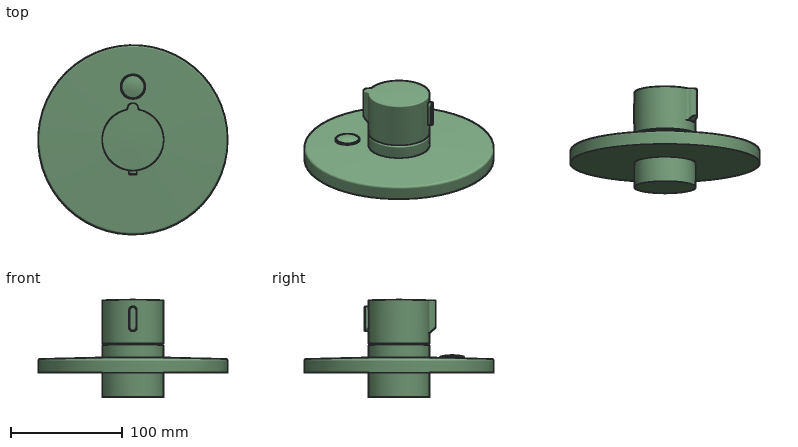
import cadquery as cq
import math

plate_radius = 85
plate_bottom = 22.1
plate_rim_top = 34.3
plate_peak = 36.4
plate_rim_round = 2.0

body_radius = 27.5
body_top = 46.9
body_round = 1.2
neck_radius = 22.3
neck_overlap = 1.7

cap_bottom = 48.3
cap_rim_top = 86.9
cap_round = 1.0
crown_peak = 87.5

pointer_radius = 4.8
pointer_reach = 33.0
pointer_blend = 2.5
crease_margin = 0.2
pointer_tip_bottom = 62.4
pointer_root_bottom = 57.6

key_width = 7.1
key_bottom = 59.0
key_top = 81.5
key_reach = 31.1
key_embed = 1.7
key_chamfer = 0.7

button_y = 47.6
button_radius = 11.0
button_dome_radius = 10.2
button_edge = 35.7
button_dome_edge = 36.5
button_peak = 37.9


def disc(radius, bottom, top):
    return cq.Workplane("XY").workplane(offset=bottom).circle(radius).extrude(top - bottom)


def make_plate():
    face_radius = plate_radius - plate_rim_round
    shoulder = plate_rim_top - plate_rim_round
    bend = plate_rim_round * math.sqrt(0.5)
    return (
        cq.Workplane("XZ")
        .moveTo(0, plate_bottom)
        .lineTo(plate_radius, plate_bottom)
        .lineTo(plate_radius, shoulder)
        .threePointArc((face_radius + bend, shoulder + bend), (face_radius, plate_rim_top))
        .lineTo(0, plate_peak)
        .close()
        .revolve(360, (0, 0), (0, 1))
    )


def make_body():
    body = disc(body_radius, 0, body_top).faces(">Z").edges().fillet(body_round)
    return body.union(disc(neck_radius, plate_bottom, cap_bottom + neck_overlap))


def make_cap():
    barrel = disc(body_radius, cap_bottom, crown_peak)
    pointer_y = pointer_reach - pointer_radius
    lobe = disc(pointer_radius, cap_bottom, crown_peak).translate((0, pointer_y, 0))
    crease_y = (body_radius**2 + pointer_y**2 - pointer_radius**2) / (2 * pointer_y)
    crease_x = math.sqrt(body_radius**2 - crease_y**2)
    creases = cq.selectors.BoxSelector(
        (-crease_x - crease_margin, crease_y - crease_margin, cap_bottom),
        (crease_x + crease_margin, crease_y + crease_margin, crown_peak),
    )
    cap = barrel.union(lobe).edges("|Z").edges(creases).fillet(pointer_blend)

    crown_envelope = (
        cq.Workplane("XZ")
        .polyline([
            (0, cap_bottom),
            (pointer_reach, cap_bottom),
            (pointer_reach, cap_rim_top),
            (0, crown_peak),
        ])
        .close()
        .revolve(360, (0, 0), (0, 1))
    )
    cap = cap.intersect(crown_envelope)
    cap = cap.faces("%CONE").edges("not %LINE").fillet(cap_round)

    below_lobe = (
        cq.Workplane("YZ")
        .polyline([
            (0, cap_bottom),
            (pointer_reach, cap_bottom),
            (pointer_reach, pointer_tip_bottom),
            (body_radius, pointer_root_bottom),
            (0, pointer_root_bottom),
        ])
        .close()
        .extrude(body_radius, both=True)
        .cut(disc(body_radius, cap_bottom, crown_peak))
    )
    return cap.cut(below_lobe)


def make_key():
    key_root = body_radius - key_embed
    return (
        cq.Workplane("XZ", origin=(0, -key_root, (key_bottom + key_top) / 2))
        .slot2D(key_top - key_bottom, key_width, 90)
        .extrude(key_reach - key_root)
        .faces("<Y")
        .edges()
        .chamfer(key_chamfer)
    )


def make_button():
    dome_height = button_peak - button_dome_edge
    sphere_radius = (button_dome_radius**2 + dome_height**2) / (2 * dome_height)
    half_angle = math.asin(button_dome_radius / sphere_radius) / 2
    dome_middle = (
        sphere_radius * math.sin(half_angle),
        button_peak - sphere_radius * (1 - math.cos(half_angle)),
    )
    return (
        cq.Workplane("XZ", origin=(0, button_y, 0))
        .moveTo(0, plate_bottom)
        .lineTo(button_radius, plate_bottom)
        .lineTo(button_radius, button_edge)
        .lineTo(button_dome_radius, button_dome_edge)
        .threePointArc(dome_middle, (0, button_peak))
        .close()
        .revolve(360, (0, 0), (0, 1))
    )


result = make_plate().union(make_body()).union(make_cap()).union(make_key()).union(make_button())